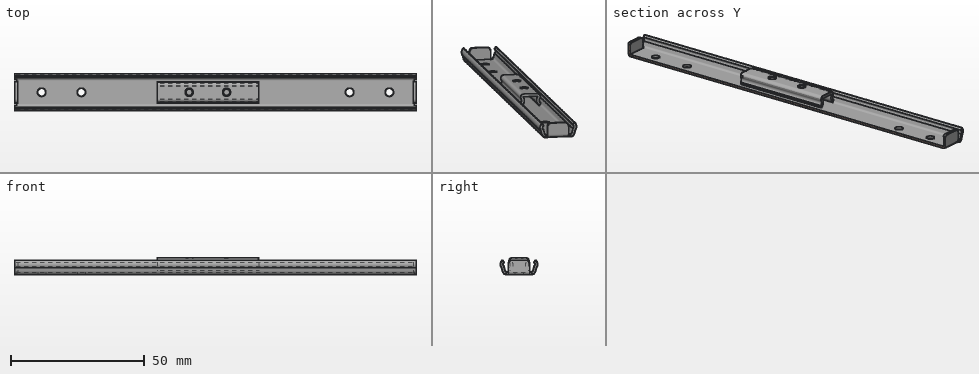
import cadquery as cq
import math

sheet = 1.0

rail_length = 150.0
rail_width = 14.0
floor_half_width = 4.4
bend_radius = 2.0
wall_tilt = math.radians(15)
lip_radius = 2.1
lip_centre = (rail_width / 2 - lip_radius, 3.9)
lip_top_z = 5.5

stop_width = 8.1
stop_height = 5.5
stop_corner_radius = 1.5
stop_bend_radius = 1.2
stop_foot = 3.0
relief_depth = 0.8
relief_width = 0.8

slider_length = 38.0
slider_top_z = 6.5
slider_centre_x = -2.8
slider_flat_half_width = 2.5
slider_corner_radius = 1.2
foot_angle = math.radians(235)

rail_hole_diameter = 3.0
rail_hole_offsets = (50.1, 65.0)
slider_hole_diameter = 2.4
countersink_degrees = 90
slider_hole_rim_diameter = 3.0
slider_hole_spacing = 14.0


def arc_point(centre, radius, angle):
    """Point (y, z) on a circle in the cross-section."""
    return (centre[0] + radius * math.cos(angle), centre[1] + radius * math.sin(angle))


def rail_side_points(inset):
    """Points from the floor edge to the lip tip on the surface lying `inset` inside the outer skin."""
    bend = bend_radius - inset
    lip = lip_radius - inset
    bend_centre = (floor_half_width, bend_radius)
    floor_edge = (floor_half_width, inset)
    bend_middle = arc_point(bend_centre, bend, -(math.pi / 2 + wall_tilt) / 2)
    bend_end = arc_point(bend_centre, bend, -wall_tilt)
    from_lip_y = bend_end[0] - lip_centre[0]
    from_lip_z = bend_end[1] - lip_centre[1]
    along = from_lip_y * math.sin(wall_tilt) + from_lip_z * math.cos(wall_tilt)
    run = -along - math.sqrt(along**2 - from_lip_y**2 - from_lip_z**2 + lip**2)
    crease = (bend_end[0] + run * math.sin(wall_tilt), bend_end[1] + run * math.cos(wall_tilt))
    lip_middle = arc_point(lip_centre, lip, 0)
    tip = arc_point(lip_centre, lip, math.asin((lip_top_z - lip_centre[1]) / lip_radius))
    return floor_edge, bend_middle, bend_end, crease, lip_middle, tip


def make_channel():
    """Floor and both curled walls, swept along X."""
    floor_edge, bend_middle, bend_end, crease, lip_middle, tip = rail_side_points(0)
    in_floor_edge, in_bend_middle, in_bend_end, in_crease, in_lip_middle, in_tip = rail_side_points(sheet)
    half = (
        cq.Workplane("YZ", origin=(-rail_length / 2, 0, 0))
        .moveTo(0, 0)
        .lineTo(*floor_edge)
        .threePointArc(bend_middle, bend_end)
        .lineTo(*crease)
        .threePointArc(lip_middle, tip)
        .lineTo(*in_tip)
        .threePointArc(in_lip_middle, in_crease)
        .lineTo(*in_bend_end)
        .threePointArc(in_bend_middle, in_floor_edge)
        .lineTo(0, sheet)
        .close()
        .extrude(rail_length)
    )
    return half.union(half.mirror("XZ"))


def make_end_stop():
    """L-shaped stop at the -X end: a foot in the floor, an outer bend and a round-cornered upright."""
    outer_x = -rail_length / 2
    bend_middle = stop_bend_radius * (1 - math.cos(math.pi / 4))
    stop = (
        cq.Workplane("XZ", origin=(0, stop_width / 2, 0))
        .moveTo(outer_x + stop_foot, 0)
        .lineTo(outer_x + stop_bend_radius, 0)
        .threePointArc((outer_x + bend_middle, bend_middle), (outer_x, stop_bend_radius))
        .lineTo(outer_x, stop_height)
        .lineTo(outer_x + sheet, stop_height)
        .lineTo(outer_x + sheet, sheet)
        .lineTo(outer_x + stop_foot, sheet)
        .close()
        .extrude(stop_width)
    )
    return stop.edges("|X and >Z").fillet(stop_corner_radius)


def make_floor_end_cut():
    """Room at the -X end of the channel: the foot of the stop and a relief notch on each side of it."""
    foot_room = cq.Workplane("XY").box(2 * stop_foot, stop_width, 2 * sheet)
    notches = cq.Workplane("XY").box(2 * relief_depth, stop_width + 2 * relief_width, 2 * bend_radius)
    return foot_room.union(notches).translate((-rail_length / 2, 0, 0))


def make_rail():
    """Channel with an end stop at each end and four screw holes through the floor."""
    rail = make_channel()
    floor_end_cut = make_floor_end_cut()
    end_stop = make_end_stop()
    rail = rail.cut(floor_end_cut).cut(floor_end_cut.mirror("YZ"))
    rail = rail.union(end_stop).union(end_stop.mirror("YZ"))
    holes = (
        cq.Workplane("XY")
        .pushPoints([(side * offset, 0) for offset in rail_hole_offsets for side in (-1, 1)])
        .circle(rail_hole_diameter / 2)
        .extrude(sheet)
    )
    return rail.cut(holes)


def slider_side_points(inset):
    """Points from the flat top to the foot on the surface lying `inset` inside the outer skin."""
    corner_centre = (slider_flat_half_width, slider_top_z - slider_corner_radius)
    corner = slider_corner_radius - inset
    to_lip_y = lip_centre[0] - corner_centre[0]
    to_lip_z = lip_centre[1] - corner_centre[1]
    raceway = math.hypot(to_lip_y, to_lip_z) - corner
    join_angle = math.atan2(to_lip_z, to_lip_y)
    top_edge = (slider_flat_half_width, slider_top_z - inset)
    corner_middle = arc_point(corner_centre, corner, (math.pi / 2 + join_angle) / 2)
    join = arc_point(corner_centre, corner, join_angle)
    raceway_middle = arc_point(lip_centre, raceway, (math.pi + join_angle + foot_angle) / 2)
    foot = arc_point(lip_centre, raceway, foot_angle)
    return top_edge, corner_middle, join, raceway_middle, foot


def make_slider():
    """Inverted channel with two countersunk holes through its top, clear of the rail."""
    top_edge, corner_middle, join, raceway_middle, foot = slider_side_points(0)
    in_top_edge, in_corner_middle, in_join, in_raceway_middle, in_foot = slider_side_points(sheet)
    half = (
        cq.Workplane("YZ", origin=(slider_centre_x - slider_length / 2, 0, 0))
        .moveTo(0, slider_top_z)
        .lineTo(*top_edge)
        .threePointArc(corner_middle, join)
        .threePointArc(raceway_middle, foot)
        .lineTo(*in_foot)
        .threePointArc(in_raceway_middle, in_join)
        .threePointArc(in_corner_middle, in_top_edge)
        .lineTo(0, slider_top_z - sheet)
        .close()
        .extrude(slider_length)
    )
    slider = half.union(half.mirror("XZ"))
    return (
        slider.faces(">Z").workplane(origin=(slider_centre_x, 0, slider_top_z))
        .pushPoints([(side * slider_hole_spacing / 2, 0) for side in (-1, 1)])
        .cskHole(slider_hole_diameter, slider_hole_rim_diameter, countersink_degrees, 2 * sheet)
    )


rail = make_rail()
slider = make_slider()
result = cq.Compound.makeCompound([rail.solids().val(), slider.solids().val()])